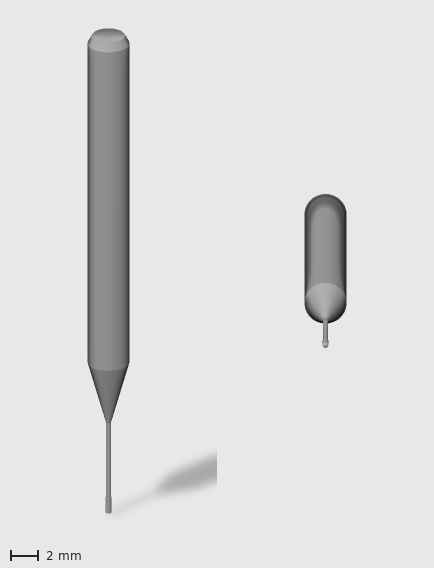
import cadquery as cq

total_length = 38.1
point_height = 0.1
cutter_top = 1.35
neck_top = 7.3
shank_bottom = 12.1
chamfer_height = 0.6

shank_diameter = 3.0
shank_end_diameter = 2.35
cutter_diameter = 0.42
neck_diameter = 0.4

shank_radius = shank_diameter / 2
shank_end_radius = shank_end_diameter / 2
cutter_radius = cutter_diameter / 2
neck_radius = neck_diameter / 2


def revolve_profile(points):
    """Turn a closed (radius, height) outline around the Z axis."""
    axis_start = (0, 0)
    axis_end = (0, 1)
    return cq.Workplane("XZ").polyline(points).close().revolve(360, axis_start, axis_end)


def make_cutter():
    """Cylindrical cutting end with a shallow conical point."""
    return revolve_profile([
        (0, 0),
        (cutter_radius, point_height),
        (cutter_radius, cutter_top),
        (0, cutter_top),
    ])


def make_shank():
    """Slender neck, conical transition and chamfered cylindrical shank."""
    return revolve_profile([
        (0, cutter_top),
        (neck_radius, cutter_top),
        (neck_radius, neck_top),
        (shank_radius, shank_bottom),
        (shank_radius, total_length - chamfer_height),
        (shank_end_radius, total_length),
        (0, total_length),
    ])


cutter = make_cutter()
shank = make_shank()
result = cq.Compound.makeCompound([cutter.val(), shank.val()])